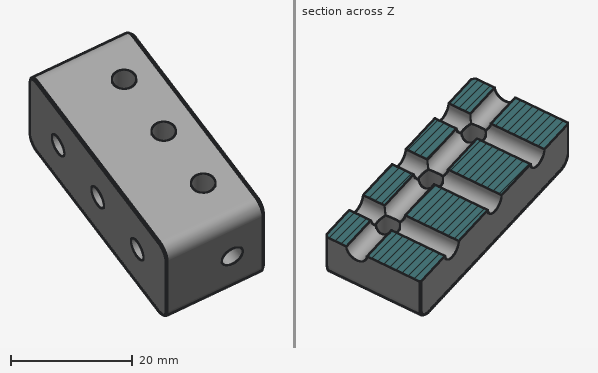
import cadquery as cq

length = 44.07
depth = 19.05
height = 18.67

corner_radius = 2.5
front_chamfer = 0.25
back_chamfer = 0.5

hole_diameter = 4.03
hole_pitch = 12.7
hole_inset = 6.35

hole_y = depth / 2 - hole_inset
hole_columns = (-hole_pitch, 0, hole_pitch)


def make_block():
    """Centred block with rounded long edges and chamfered end rims."""
    block = cq.Workplane("XY").box(length, depth, height)
    block = block.edges("|Y").fillet(corner_radius)
    block = block.faces("<Y").chamfer(front_chamfer)
    return block.faces(">Y").chamfer(back_chamfer)


def through_hole(plane, span, center):
    """Cylinder along the plane's normal, spanning the block through center."""
    return cq.Workplane(plane, origin=center).circle(hole_diameter / 2).extrude(span / 2, both=True)


def drill_holes(block):
    """Three crossing pairs of holes, plus one hole along the whole length."""
    for x in hole_columns:
        block = block.cut(through_hole("XZ", depth, (x, 0, 0)))
        block = block.cut(through_hole("XY", height, (x, hole_y, 0)))
    return block.cut(through_hole("YZ", length, (0, hole_y, 0)))


result = drill_holes(make_block())